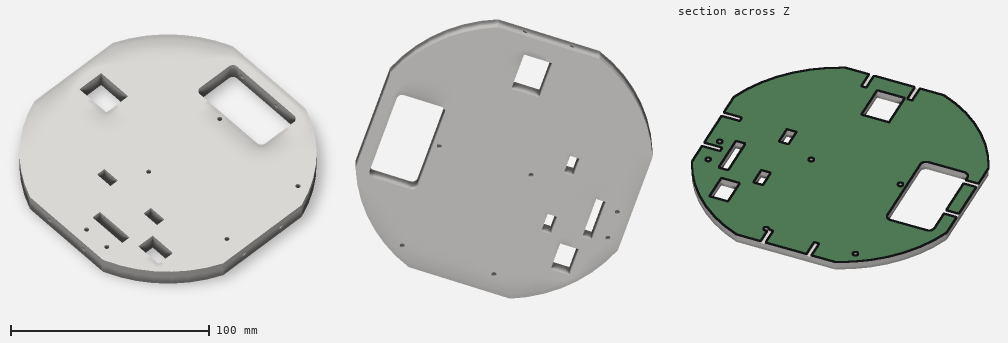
import cadquery as cq

flat_span = 140.0
disc_radius = 75.0
thickness = 10.0

window_length = 48.2
window_width = 25.6
window_center = (4.9, 50.0)
window_corner_radius = 3.0

side_opening_size = (20.0, 15.0)
side_opening_center = (-50.0, 2.2)
corner_opening_size = (15.0, 10.0)
corner_opening_center = (40.5, -46.2)
small_slot_size = (10.0, 5.0)
small_slot_centers = [(-9.5, -32.9), (24.5, -32.5)]
long_slot_size = (22.0, 5.0)
long_slot_center = (14.8, -53.0)

hole_diameter = 2.5
board_hole_spacing = (58.0, 49.0)
board_center = (31.0, 9.4)
slot_hole_spacing = 15.0
slot_hole_offset = 10.0
edge_hole_spacing = 25.2
edge_hole_depth = 10.0


def make_plate():
    """Disc with four flats, centred on the origin."""
    disc = cq.Workplane("XY").circle(disc_radius).extrude(thickness / 2, both=True)
    square = cq.Workplane("XY").box(flat_span, flat_span, thickness)
    return disc.intersect(square)


def rectangular_cutter(size, center):
    """Rectangular block as tall as the plate."""
    return cq.Workplane("XY").box(size[0], size[1], thickness).translate((center[0], center[1], 0))


def vertical_hole_cutter(center):
    """Round pin as tall as the plate."""
    return cq.Workplane("XY").center(*center).circle(hole_diameter / 2).extrude(thickness / 2, both=True)


def edge_hole_cutter(angle):
    """Pair of blind-hole pins entering the -Y flat, turned about Z by the angle."""
    half_spacing = edge_hole_spacing / 2
    pins = (
        cq.Workplane("XZ", origin=(0, -flat_span / 2, 0))
        .pushPoints([(-half_spacing, 0), (half_spacing, 0)])
        .circle(hole_diameter / 2)
        .extrude(-edge_hole_depth)
    )
    return pins.rotate((0, 0, 0), (0, 0, 1), angle)


result = make_plate()

window = rectangular_cutter((window_length, window_width), window_center)
result = result.cut(window.edges("|Z").fillet(window_corner_radius))

result = result.cut(rectangular_cutter(side_opening_size, side_opening_center))
result = result.cut(rectangular_cutter(corner_opening_size, corner_opening_center))
result = result.cut(rectangular_cutter(long_slot_size, long_slot_center))
for slot_center in small_slot_centers:
    result = result.cut(rectangular_cutter(small_slot_size, slot_center))

for x_sign in (-1, 1):
    for y_sign in (-1, 1):
        hole_x = board_center[0] + x_sign * board_hole_spacing[0] / 2
        hole_y = board_center[1] + y_sign * board_hole_spacing[1] / 2
        result = result.cut(vertical_hole_cutter((hole_x, hole_y)))

for x_sign in (-1, 1):
    hole_x = long_slot_center[0] + x_sign * slot_hole_spacing / 2
    hole_y = long_slot_center[1] - slot_hole_offset
    result = result.cut(vertical_hole_cutter((hole_x, hole_y)))

for angle in (0, 90, 180, 270):
    result = result.cut(edge_hole_cutter(angle))